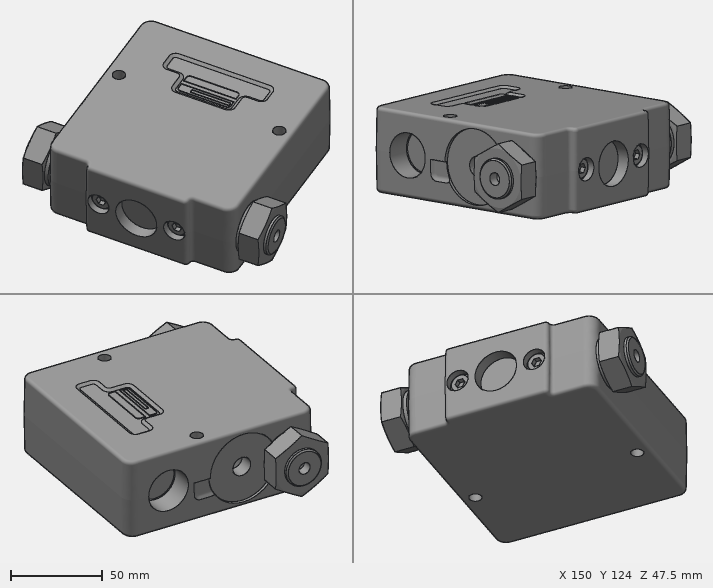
import cadquery as cq
import math

height = 47.5
half_height = height / 2
half_width = 57.9
back_y = 62.0
shoulder_y = -57.3
nose_y = -62.0
nose_half_width = 31.8
corner_radius = 6.8
nose_edge_radius = 2.7
nose_root_radius = 1.8
rim_radius = 2.1
draft_angle = 1

mount_hole_diameter = 7.2
mount_hole_x = 49.2
mount_hole_y = 13.0

port_diameter = 25.2
front_port_z = -0.8
front_port_depth = 7.4
side_port_y = 36.2
side_port_depth = 14.7
side_port_floor_chamfer = 0.5

spotface_y = -11.7
spotface_diameter = 42.6
spotface_depth = 2.3
drill_diameter = 11.3
drill_depth = 9.0
drill_tip_angle = 118

pocket_front_y = 5.0
pocket_back_y = 20.0
pocket_bottom_z = -12.0
pocket_wall_run = 2.4
pocket_corner_radius = 4.2
pocket_depth = 1.5
pocket_floor_radius = 3.2

panel_half_width = nose_half_width
panel_top_y = 43.2
panel_step_y = 29.0
panel_stem_half_width = 19.2
panel_bottom_y = 14.7
panel_radius = 3.9
panel_inner_radius = 2.3
panel_wall_run = 2.1
panel_depth = 1.2

label_half_width = 16.0
label_top_y = 31.0
label_bottom_y = 17.9
label_radius = 2.0
label_height = 0.5
label_band_top_y = 26.0
label_band_bottom_y = 23.3
number_box_left_x = -8.7
number_box_right_x = 15.0
number_box_top_y = 21.6
number_box_bottom_y = 19.5

plug_y = -40.0
plug_seat_x = 57.6
plug_collar_diameter = 30.0
hex_inner_x = 59.9
hex_outer_x = 72.6
hex_across_flats = 33.3
hex_bevel_diameter = 33.0
hex_bevel_length = 0.6
plug_end_x = 75.0
plug_end_diameter = 22.5
plug_end_chamfer = 0.9
plug_hole_diameter = 7.0
plug_hole_depth = 6.0

screw_x = 23.3
screw_diameter = 12.9
screw_chamfer = 1.2
screw_recess = 3.2
screw_length = 9.0
socket_across_flats = 5.1
socket_depth = 3.0


def cylinder(diameter, length, start, direction):
    """Solid cylinder from a start point along a direction."""
    return cq.Workplane(
        cq.Solid.makeCylinder(diameter / 2, length, cq.Vector(*start), cq.Vector(*direction))
    )


def hexagon(plane, across_flats, length):
    """Hexagonal prism along a plane's normal, corners on the plane's local X axis."""
    return cq.Workplane(plane).polygon(6, across_flats / math.cos(math.pi / 6)).extrude(length)


def drilled_hole(diameter, depth, start, direction):
    """Blind hole with a conical drill tip."""
    tip_length = diameter / 2 / math.tan(math.radians(drill_tip_angle / 2))
    axis = cq.Vector(*direction)
    tip_start = cq.Vector(*start) + axis * depth
    tip = cq.Solid.makeCone(diameter / 2, 0, tip_length, tip_start, axis)
    return cylinder(diameter, depth, start, direction).union(cq.Workplane(tip))


def housing_blank():
    """Drafted casting with a nose on the front wall and rounded rims."""
    nose_root = cq.selectors.BoxSelector(
        (-nose_half_width - nose_root_radius, shoulder_y - nose_root_radius, -1.5),
        (nose_half_width + nose_root_radius, shoulder_y + nose_root_radius, 1.5),
    )
    outline = (
        cq.Sketch()
        .polygon(
            [
                (-half_width, back_y),
                (-half_width, shoulder_y),
                (-nose_half_width, shoulder_y),
                (-nose_half_width, nose_y),
                (nose_half_width, nose_y),
                (nose_half_width, shoulder_y),
                (half_width, shoulder_y),
                (half_width, back_y),
                (-half_width, back_y),
            ]
        )
        .vertices("<X or >X")
        .fillet(corner_radius)
        .reset()
        .vertices("<Y")
        .fillet(nose_edge_radius)
        .reset()
        .vertices(nose_root)
        .fillet(nose_root_radius)
    )

    def half_casting(direction, face):
        half = cq.Workplane().placeSketch(outline).extrude(direction * half_height, taper=draft_angle)
        return half.faces(face).edges().fillet(rim_radius)

    return half_casting(1, ">Z").union(half_casting(-1, "<Z"))


def nameplate_panel():
    """Cutter for the sloped T-shaped panel, leaving the raised label on its floor."""
    floor_z = half_height - panel_depth
    bar_height = panel_top_y - panel_step_y
    stem_height = panel_top_y - panel_bottom_y
    stem_root = cq.selectors.BoxSelector(
        (-panel_stem_half_width - panel_inner_radius, panel_step_y - panel_inner_radius, -1.5),
        (panel_stem_half_width + panel_inner_radius, panel_step_y + panel_inner_radius, 1.5),
    )
    outline = (
        cq.Sketch()
        .push([(0, panel_top_y - bar_height / 2)])
        .rect(2 * panel_half_width, bar_height)
        .reset()
        .push([(0, panel_top_y - stem_height / 2)])
        .rect(2 * panel_stem_half_width, stem_height)
        .reset()
        .clean()
        .vertices("<X or >X or <Y")
        .fillet(panel_radius)
        .reset()
        .vertices(stem_root)
        .fillet(panel_inner_radius)
    )
    slope_angle = math.degrees(math.atan(panel_wall_run / panel_depth))
    panel = (
        cq.Workplane(cq.Plane((0, 0, half_height), xDir=(1, 0, 0), normal=(0, 0, 1)))
        .placeSketch(outline)
        .extrude(-panel_depth, taper=slope_angle)
    )

    def label_block(left_x, right_x, bottom_y, top_y):
        return (
            cq.Workplane(origin=((left_x + right_x) / 2, (bottom_y + top_y) / 2, floor_z))
            .rect(right_x - left_x, top_y - bottom_y)
            .extrude(label_height)
        )

    label = label_block(-label_half_width, label_half_width, label_bottom_y, label_top_y)
    label = label.edges("|Z").fillet(label_radius)
    band = label_block(-label_half_width, label_half_width, label_band_bottom_y, label_band_top_y)
    number_box = label_block(
        number_box_left_x, number_box_right_x, number_box_bottom_y, number_box_top_y
    )
    return panel.cut(label.cut(band).cut(number_box))


def side_pocket():
    """Cutter for the sloped pocket on the left wall, flat along the parting plane."""
    length = pocket_back_y - pocket_front_y
    mouth_height = -2 * pocket_bottom_z
    slope_angle = math.degrees(math.atan(pocket_wall_run / pocket_depth))
    outline = cq.Sketch().rect(length, mouth_height).vertices().fillet(pocket_corner_radius)
    mouth = cq.Plane(
        (-half_width, (pocket_front_y + pocket_back_y) / 2, 0), xDir=(0, -1, 0), normal=(-1, 0, 0)
    )
    pocket = cq.Workplane(mouth).placeSketch(outline).extrude(-pocket_depth, taper=slope_angle)
    pocket = pocket.faces(">X").edges().fillet(pocket_floor_radius)
    below_parting = cq.Workplane(mouth).center(0, pocket_bottom_z).rect(length, mouth_height)
    return pocket.intersect(below_parting.extrude(-pocket_depth))


def make_housing():
    housing = housing_blank()

    for side in (-1, 1):
        mount_hole_start = (side * mount_hole_x, mount_hole_y, -half_height)
        housing = housing.cut(cylinder(mount_hole_diameter, height, mount_hole_start, (0, 0, 1)))
        seat_start = (side * plug_seat_x, plug_y, 0)
        seat_depth = half_width - plug_seat_x
        housing = housing.cut(cylinder(plug_collar_diameter, seat_depth, seat_start, (side, 0, 0)))
        screw_hole_start = (side * screw_x, nose_y, 0)
        screw_hole_depth = screw_recess + screw_length
        housing = housing.cut(cylinder(screw_diameter, screw_hole_depth, screw_hole_start, (0, 1, 0)))

    housing = housing.cut(cylinder(port_diameter, front_port_depth, (0, nose_y, front_port_z), (0, 1, 0)))

    side_port = cylinder(port_diameter, side_port_depth, (-half_width, side_port_y, 0), (1, 0, 0))
    housing = housing.cut(side_port.faces(">X").chamfer(side_port_floor_chamfer))

    housing = housing.cut(side_pocket())
    spotface_start = (-half_width, spotface_y, 0)
    drill_start = (-half_width + spotface_depth, spotface_y, 0)
    housing = housing.cut(cylinder(spotface_diameter, spotface_depth, spotface_start, (1, 0, 0)))
    housing = housing.cut(drilled_hole(drill_diameter, drill_depth, drill_start, (1, 0, 0)))

    return housing.cut(nameplate_panel())


def make_plug(side):
    """Hexagon plug on one side: collar, bevelled hexagon and drilled round end."""
    axis = (side, 0, 0)

    def plug_point(x):
        return (side * x, plug_y, 0)

    hex_length = hex_outer_x - hex_inner_x
    hex_plane = cq.Plane(plug_point(hex_inner_x), xDir=(0, 0, 1), normal=axis)
    hex_corner_radius = hex_across_flats / 2 / math.cos(math.pi / 6)
    bevel = cylinder(2 * hex_corner_radius, hex_length, plug_point(hex_inner_x), axis)
    bevel = bevel.faces("<X or >X").chamfer(
        hex_bevel_length, hex_corner_radius - hex_bevel_diameter / 2
    )
    head = hexagon(hex_plane, hex_across_flats, hex_length).intersect(bevel)

    collar = cylinder(plug_collar_diameter, hex_inner_x - plug_seat_x, plug_point(plug_seat_x), axis)
    round_end = cylinder(plug_end_diameter, plug_end_x - hex_outer_x, plug_point(hex_outer_x), axis)
    round_end = round_end.faces(">X" if side > 0 else "<X").chamfer(plug_end_chamfer)

    plug = head.union(collar).union(round_end)
    return plug.cut(drilled_hole(plug_hole_diameter, plug_hole_depth, plug_point(plug_end_x), (-side, 0, 0)))


def make_set_screw(side):
    """Set screw sunk behind the nose face, with a hexagon socket."""
    face_y = nose_y + screw_recess
    screw = cylinder(screw_diameter, screw_length, (side * screw_x, face_y, 0), (0, 1, 0))
    screw = screw.faces("<Y").chamfer(screw_chamfer)
    socket_plane = cq.Plane((side * screw_x, face_y, 0), xDir=(1, 0, 0), normal=(0, 1, 0))
    return screw.cut(hexagon(socket_plane, socket_across_flats, socket_depth))


housing = make_housing()
plugs = [make_plug(side) for side in (-1, 1)]
set_screws = [make_set_screw(side) for side in (-1, 1)]

result = cq.Compound.makeCompound(
    [housing.val(), *(plug.val() for plug in plugs), *(screw.val() for screw in set_screws)]
)